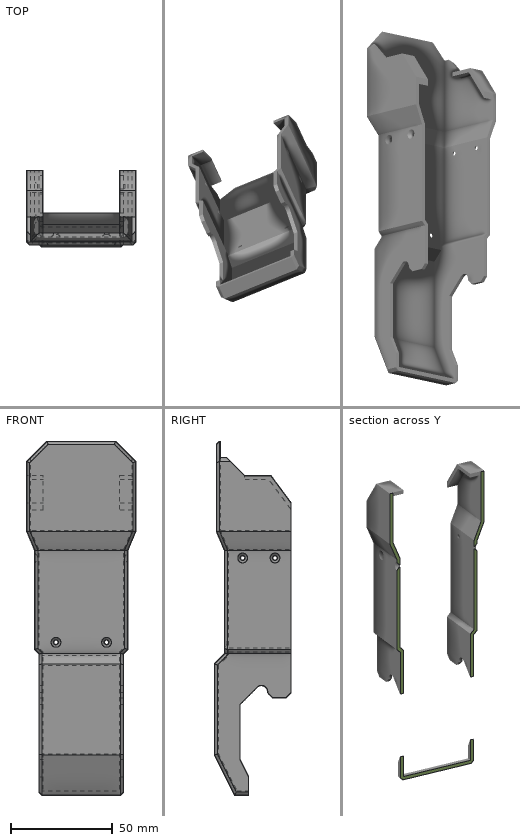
import cadquery as cq
import math

height = 175.0
wall = 2.0
edge_chamfer = 1.5
overlap = 4.0
reach = 200.0
clearance = 1.0

head_half_width = 27.0
grip_half_width = 23.0
hook_half_width = 21.0
hook_depth = 38.0
head_depth = hook_depth - 1.0
grip_depth = hook_depth - 5.0

hook_bend_z = 20.0
hook_top_z = 65.0
grip_front_z = hook_top_z + hook_depth - grip_depth
grip_side_z = grip_front_z + grip_half_width - hook_half_width
grip_top_z = 121.0
head_bottom_z = 130.5
toe_depth = 28.0

corner_cut = 10.0
arm_top_z = 158.0
arm_back_z = 144.5
arm_flat_start = 10.0
arm_flat_end = 23.0

lug_bottom_z = 48.2
lug_chamfer = 2.5
notch_radius = 3.0
notch_depth = 14.7
notch_z = 51.2
hook_inner_depth = 25.2
hook_inner_bottom_z = 17.6
toe_back_depth = 21.0
toe_back_z = 9.1

hole_diameter = 2.2
countersink_diameter = 4.8
front_hole_x = 12.5
front_hole_z = 75.6
side_hole_depths = (8.0, 24.0)
side_hole_z = 117.3

front_line = [
    (toe_depth, 0),
    (hook_depth, hook_bend_z),
    (hook_depth, hook_top_z),
    (grip_depth, grip_front_z),
    (grip_depth, grip_top_z),
    (head_depth, head_bottom_z),
    (head_depth, height),
]
side_line = [
    (hook_half_width, 0),
    (hook_half_width, grip_front_z),
    (grip_half_width, grip_side_z),
    (grip_half_width, grip_top_z),
    (head_half_width, head_bottom_z),
    (head_half_width, height),
]


def side_plate(points, half_width):
    """Prism across X from (depth, Z) points, centred on X = 0."""
    outline = [(-depth, z) for depth, z in points]
    return cq.Workplane("YZ").polyline(outline).close().extrude(half_width, both=True)


def mirrored(line):
    """Closed outline from a right-hand edge line and its mirror image."""
    return line + [(-x, z) for x, z in reversed(line)]


def chamfered_block(front, sides):
    """Solid between a front line and two side lines, its long front corners chamfered."""
    across = cq.Workplane("XZ").polyline(mirrored(sides)).close().extrude(reach, both=True)
    top_z = front[-1][1]
    bottom_z = front[0][1]
    block = side_plate(front + [(0, top_z), (0, bottom_z)], reach).intersect(across)
    front_half = cq.selectors.BoxSelector((-reach, -reach, -reach), (reach, -clearance, reach))
    corners = block.edges("not (|X or |Y)").edges(front_half)
    return corners.chamfer(edge_chamfer)


def outer_block():
    """Solid outer form: the hook and the grip, each running on at 45 degrees into the other."""
    overlap_top = (grip_depth - overlap, grip_front_z + overlap)
    hook = chamfered_block(
        front_line[:3] + [overlap_top],
        [(hook_half_width, 0), (hook_half_width, grip_front_z + overlap)],
    )
    overlap_bottom_z = grip_front_z - overlap
    grip = chamfered_block(
        [(grip_depth, overlap_bottom_z)] + front_line[4:],
        [(hook_half_width - overlap, overlap_bottom_z)] + side_line[2:],
    )
    return hook.union(grip)


def trim_front_outline(body):
    """Cut the head's top corners and chamfer the bottom side edges."""
    half = head_half_width
    bottom_half = hook_half_width - edge_chamfer
    right = [
        (bottom_half, 0),
        (hook_half_width, edge_chamfer),
        (hook_half_width, hook_top_z),
        (half, hook_top_z + half - hook_half_width),
        (half, height - corner_cut),
        (half - corner_cut, height),
    ]
    plate = cq.Workplane("XZ").polyline(mirrored(right)).close().extrude(reach, both=True)
    body = body.intersect(plate)
    rim = cq.selectors.BoxSelector(
        (-half, -head_depth - clearance, height - corner_cut),
        (half, -head_depth + edge_chamfer / 4, height + clearance),
    )
    return body.edges(rim).chamfer(edge_chamfer)


def trim_back_outline(body):
    """Cut the arms, the lug, the notch and the back of the hook through both sides."""
    panel_back = head_depth - wall
    slope_top_z = arm_top_z + panel_back - arm_flat_end
    above_arms = [
        (0, height + clearance),
        (0, arm_back_z),
        (arm_flat_start, arm_top_z),
        (arm_flat_end, arm_top_z),
        (panel_back, slope_top_z),
        (panel_back, height + clearance),
    ]
    body = body.cut(side_plate(above_arms, reach))

    slant = notch_radius * math.sqrt(0.5)
    tangent_depth = notch_depth + slant
    tangent_z = notch_z + slant
    notch_back = notch_depth - notch_radius
    below_lug = (
        cq.Workplane("YZ")
        .moveTo(0, -clearance)
        .lineTo(0, lug_bottom_z + lug_chamfer)
        .lineTo(-lug_chamfer, lug_bottom_z)
        .lineTo(-notch_back + lug_chamfer, lug_bottom_z)
        .lineTo(-notch_back, lug_bottom_z + lug_chamfer)
        .lineTo(-notch_back, notch_z)
        .threePointArc((-notch_depth, notch_z + notch_radius), (-tangent_depth, tangent_z))
        .lineTo(-hook_inner_depth, tangent_z - (hook_inner_depth - tangent_depth))
        .lineTo(-hook_inner_depth, hook_inner_bottom_z)
        .lineTo(-toe_back_depth, toe_back_z)
        .lineTo(-toe_back_depth, -clearance)
        .close()
        .extrude(reach, both=True)
    )
    return body.cut(below_lug)


def inset_plate(points, half_width):
    """Prism across X, its (depth, Z) outline moved inwards by the wall thickness."""
    outline = [(-depth, z) for depth, z in points]
    plate = cq.Workplane("YZ").polyline(outline).close().offset2D(-wall, "intersection")
    return plate.extrude(half_width, both=True)


def centre_cavity():
    """Space between the arms, open at the back and top, with a floor in the toe."""
    above = height + reach
    outline = front_line[:-1] + [(head_depth, above), (-reach, above), (-reach, 0)]
    return inset_plate(outline, hook_half_width - wall)


def arm_cavity():
    """Space inside the arms, under the roof along their flat and sloping top edges."""
    beyond_back = -arm_flat_start
    beyond_back_z = 2 * arm_back_z - arm_top_z
    top_and_back = [
        (head_depth, arm_top_z),
        (arm_flat_start, arm_top_z),
        (beyond_back, beyond_back_z),
        (beyond_back, hook_top_z),
    ]
    return inset_plate(front_line[2:6] + top_and_back, reach)


def head_opening():
    """Space that opens the head upwards between the arm roofs and the front panel."""
    panel_back = head_depth - wall
    bottom_z = head_bottom_z + wall
    top_z = height + clearance
    outline = [
        (arm_flat_end, bottom_z),
        (panel_back, bottom_z),
        (panel_back, top_z),
        (arm_flat_end, top_z),
    ]
    return side_plate(outline, reach)


def hollow(body):
    """Hollow the solid form, leaving walls of even thickness and the roofs of the arms."""
    above = height + reach
    between_walls = (
        cq.Workplane("XZ")
        .polyline(mirrored(side_line[:-1] + [(head_half_width, above)]))
        .close()
        .offset2D(-wall, "intersection")
        .extrude(reach, both=True)
    )
    cavity = centre_cavity().union(arm_cavity()).union(head_opening())
    return body.cut(cavity.intersect(between_walls))


def countersunk_drill(origin, direction):
    """Cutter that starts at the outer face and points into the wall."""
    start = cq.Vector(*origin)
    along = cq.Vector(*direction)
    outer = countersink_diameter / 2
    inner = hole_diameter / 2
    cone = cq.Solid.makeCone(outer, inner, outer - inner, start, along)
    drill = cq.Solid.makeCylinder(inner, 2 * wall, start, along)
    return cq.Workplane(cone).union(cq.Workplane(drill))


def drill_holes(body):
    for side in (-1, 1):
        front = (side * front_hole_x, -grip_depth, front_hole_z)
        body = body.cut(countersunk_drill(front, (0, 1, 0)))
        for depth in side_hole_depths:
            origin = (side * grip_half_width, -depth, side_hole_z)
            body = body.cut(countersunk_drill(origin, (-side, 0, 0)))
    return body


result = outer_block()
result = trim_front_outline(result)
result = trim_back_outline(result)
result = hollow(result)
result = drill_holes(result)